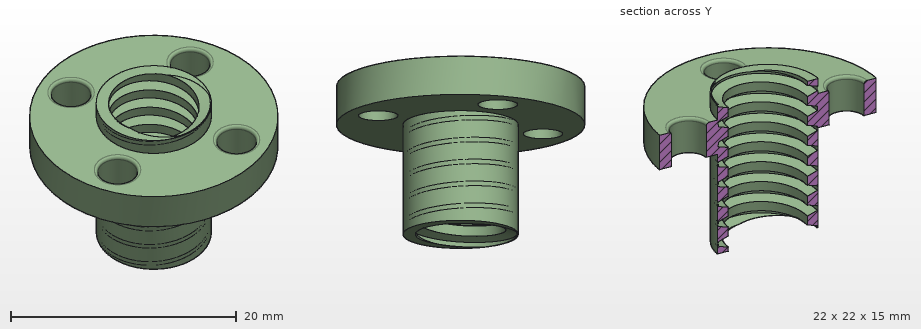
import cadquery as cq

total_height = 15.0
barrel_diameter = 10.2
flange_diameter = 22.0
flange_thickness = 3.5
collar_height = 1.5
flange_top = total_height - collar_height

screw_hole_count = 4
screw_hole_diameter = 3.5
screw_circle_diameter = 16.0
screw_hole_rounding = 0.3

bore_diameter = 8.0
thread_diameter = 10.0
thread_pitch = 2.0
groove_mouth_width = 1.08
groove_floor_width = 0.42
groove_overlap = 0.1
turns_below_top = 9
turns_above_top = 1


def make_flanged_body():
    barrel = cq.Workplane("XY").circle(barrel_diameter / 2).extrude(total_height)
    flange = (
        cq.Workplane("XY")
        .workplane(offset=flange_top - flange_thickness)
        .circle(flange_diameter / 2)
        .extrude(flange_thickness)
    )
    return barrel.union(flange)


def make_screw_hole_cutters():
    """Revolve the rounded hole outline, then copy it around the screw circle."""
    radius = screw_hole_diameter / 2
    rim_radius = radius + screw_hole_rounding
    hole = (
        cq.Workplane("XZ")
        .moveTo(0, flange_top - flange_thickness)
        .lineTo(radius, flange_top - flange_thickness)
        .lineTo(radius, flange_top - screw_hole_rounding)
        .radiusArc((rim_radius, flange_top), screw_hole_rounding)
        .lineTo(0, flange_top)
        .close()
        .revolve(360, (0, 0, 0), (0, 1, 0))
        .translate((screw_circle_diameter / 2, 0, 0))
    )
    step = 360 / screw_hole_count
    return [hole.rotate((0, 0, 0), (0, 0, 1), i * step) for i in range(screw_hole_count)]


def make_thread_cutter():
    """Sweep the groove section; its floor meets the top face on the +X side."""
    bore_radius = bore_diameter / 2
    floor_radius = thread_diameter / 2
    flank_slope = (groove_mouth_width - groove_floor_width) / 2 / (floor_radius - bore_radius)
    inner_radius = bore_radius - groove_overlap
    inner_half = groove_mouth_width / 2 + flank_slope * groove_overlap
    floor_half = groove_floor_width / 2
    start_z = total_height - turns_below_top * thread_pitch
    thread_length = (turns_below_top + turns_above_top) * thread_pitch
    path = cq.Wire.makeHelix(thread_pitch, thread_length, bore_radius, cq.Vector(0, 0, start_z))
    section = cq.Workplane("XZ").polyline([
        (inner_radius, start_z - inner_half),
        (floor_radius, start_z - floor_half),
        (floor_radius, start_z + floor_half),
        (inner_radius, start_z + inner_half),
    ]).close()
    return section.sweep(cq.Workplane(obj=path), isFrenet=True)


body = make_flanged_body()
for screw_hole in make_screw_hole_cutters():
    body = body.cut(screw_hole)
bore = cq.Workplane("XY").circle(bore_diameter / 2).extrude(total_height)
result = body.cut(make_thread_cutter()).cut(bore)